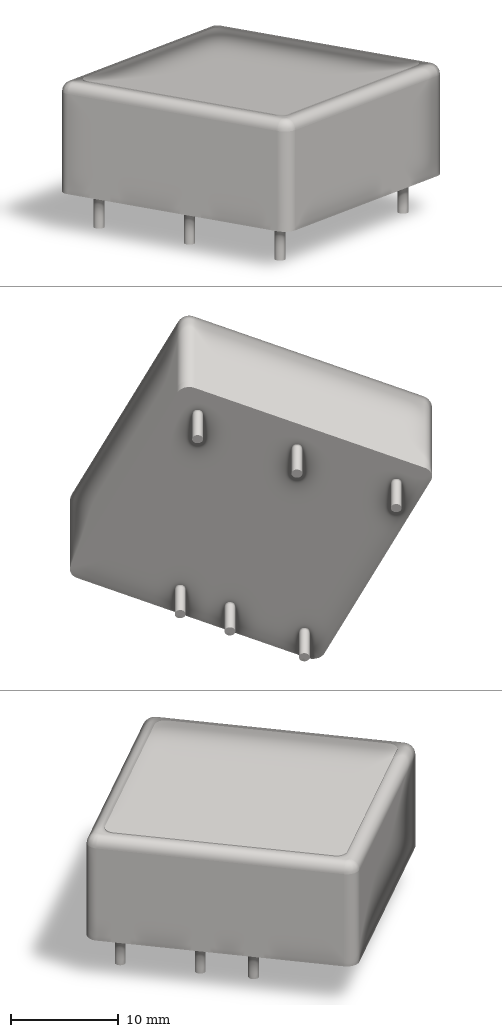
import cadquery as cq

case_width = 25.9
total_height = 14.3

pin_length = 3.55
base_thickness = 0.85
label_thickness = 0.1
housing_height = total_height - pin_length - base_thickness - label_thickness
housing_top = base_thickness + housing_height

corner_radius = 1.2
top_edge_radius = 1.0

label_inset = 1.42
label_width = case_width - 2 * label_inset
label_corner_radius = 1.04

pin_diameter = 1.0
pin_offset = 10.15
inner_pin_offset = pin_offset / 4
pin_positions = [
    (-pin_offset, -pin_offset),
    (0, -pin_offset),
    (pin_offset, -pin_offset),
    (-inner_pin_offset, pin_offset),
    (inner_pin_offset, pin_offset),
    (pin_offset, pin_offset),
]


def rounded_square(width, radius, bottom, height):
    """Square plate or block, centred on Z, with rounded vertical edges."""
    block = cq.Workplane("XY").workplane(offset=bottom).rect(width, width).extrude(height)
    return block.edges("|Z").fillet(radius)


def make_base():
    """Plate that closes the underside of the housing."""
    return rounded_square(case_width, corner_radius, 0, base_thickness)


def make_housing():
    """Block with a rounded upper rim, standing on the base."""
    block = rounded_square(case_width, corner_radius, base_thickness, housing_height)
    return block.faces(">Z").edges().fillet(top_edge_radius)


def make_label():
    """Thin plate lying on the flat top of the housing."""
    return rounded_square(label_width, label_corner_radius, housing_top, label_thickness)


def make_pin(x, y):
    """Round pin hanging from the underside of the base."""
    return cq.Workplane("XY").center(x, y).circle(pin_diameter / 2).extrude(-pin_length)


base = make_base()
housing = make_housing()
label = make_label()
pins = [make_pin(x, y).val() for x, y in pin_positions]

result = cq.Compound.makeCompound([base.val(), housing.val(), label.val(), *pins])